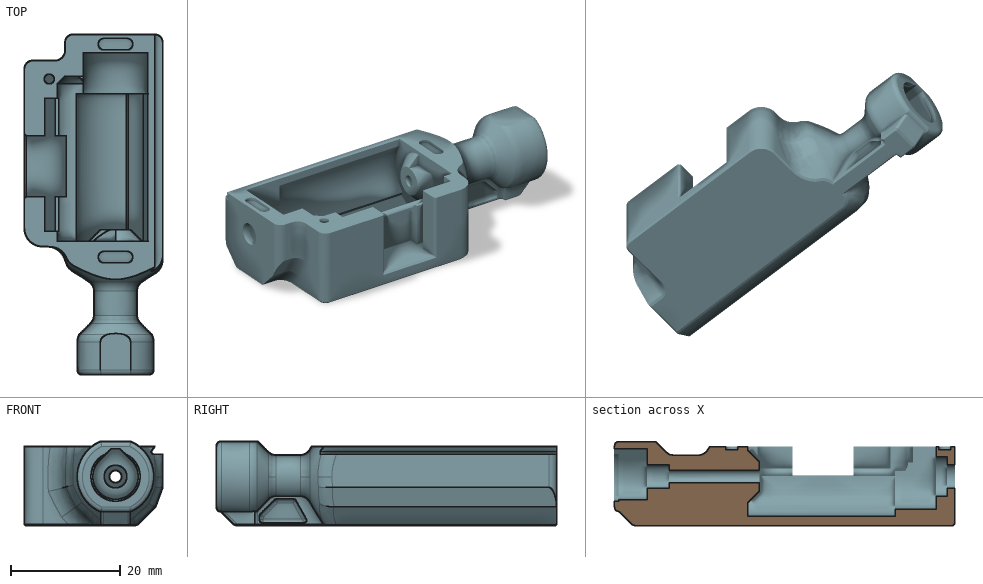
import cadquery as cq
import math


part_length = 62.2
top_z = 5.5
bottom_z = -9.0
bottom_chamfer = 0.3
edge_margin = 0.01

barrel_right_x = 8.64
barrel_left_x = -9.24
upper_facet_z = -1.97
lower_facet_z = -5.5
lower_facet_x = 7.35
bottom_half_width = lower_facet_x - (lower_facet_z - bottom_z)
back_corner_radius = 1.5
shoulder_slope = 0.63
shoulder_round = 3.0

rail_top_z = 4.1
rail_foot_x = 6.8
rail_groove_x = 6.5
rail_groove_z = 4.55
rail_edge_x = 7.2

block_left_x = -16.68
block_front_y = 23.4
block_back_y = 57.43
block_front_radius = 3.4
block_back_radius = 1.6
front_blend_radius = 3.3
back_blend_radius = 1.8

neck_radius = 3.95
knob_radius = 7.0
knob_flat_z = 6.44
knob_edge_radius = 0.9
knob_shoulder_y = 6.0
knob_cone_start_y = 7.4
knob_cone_start_radius = 6.6
knob_shoulder_mid_y = 6.75
knob_shoulder_mid_radius = 6.9
neck_start_y = 10.05
neck_end_y = 16.45
neck_fillet = 2.0
neck_root_radius = 5.4

web_half_width = 1.65
toe_half_width = 2.7
toe_end_y = 7.0
toe_edge_radius = 0.5
toe_top_z = -6.1
foot_front_y = 3.4
foot_back_y = 20.5
foot_pocket_outline = [(16.8, -8.4), (14.4, -4.1), (10.8, -4.1), (7.9, -7.0), (7.9, -8.4)]
foot_pocket_depth = 0.8
foot_pocket_corner_radius = 0.4
foot_pocket_floor_radius = 0.7

socket_radius = 4.15
socket_roof_z = 5.05
socket_depth = 6.0
mouth_radius = 4.5
mouth_depth = 0.8
axis_bore_depth = 4.0
axis_bore_diameter = 4.15
wire_hole_diameter = 2.2
back_recess_radius = 3.6
back_recess_depth = 2.0

cavity_front_y = 24.4
cavity_step_y = 51.3
cavity_back_y = 58.8
narrow_radius = 5.93
wide_radius = 7.2
boss_base_radius = 4.85
boss_height = 2.1
relief_angle = 60
relief_floor = 7.8
relief_half_width = 1.78

trough_radius = 2.6
trough_x = -8.0
trough_taper_y = 53.16
trough_back_y = 54.53

slot_front_y = 26.2
slot_back_y = 50.5
slot_left_x = -12.9
slot_right_x = -11.0
rib_top_z = 1.45
slot_floor_z = -6.5
window_front_y = 32.55
window_back_y = 43.7
window_right_x = -9.04
window_chamfer = 0.35

pad_length = 6.3
pad_width = 2.1
pad_depth = 0.6
pad_ys = (21.5, 60.4)
pin_diameter = 1.8
pin_depth = 5.0
pin_x = -12.1
pin_y = 54.03


def box(x0, x1, y0, y1, z0, z1):
    return cq.Workplane("XY").box(x1 - x0, y1 - y0, z1 - z0, centered=False).translate((x0, y0, z0))


def along_y(outline, y0, y1):
    """Extrude a closed list of (x, z) points from y0 to y1."""
    return cq.Workplane("XZ", origin=(0, y0, 0)).polyline(outline).close().extrude(y0 - y1)


def cylinder_y(radius, y0, y1, x=0, z=0):
    return cq.Workplane("XZ", origin=(0, y0, 0)).center(x, z).circle(radius).extrude(y0 - y1)


def cone_y(radius0, radius1, y0, y1, x=0, z=0):
    return (
        cq.Workplane("XY", origin=(x, 0, z))
        .moveTo(0, y0)
        .lineTo(radius0, y0)
        .lineTo(radius1, y1)
        .lineTo(0, y1)
        .close()
        .revolve(360, (0, 0, 0), (0, 1, 0))
    )


def shoulder_y(radius):
    """Where the conical front of the barrel reaches a given radius."""
    return neck_end_y + shoulder_slope * (radius - neck_radius)


def make_body():
    outline = [
        (bottom_half_width, bottom_z),
        (lower_facet_x, lower_facet_z),
        (barrel_right_x, upper_facet_z),
        (barrel_right_x, top_z),
        (barrel_left_x, top_z),
        (barrel_left_x, upper_facet_z),
        (-lower_facet_x, lower_facet_z),
        (-bottom_half_width, bottom_z),
    ]
    barrel = along_y(outline, neck_end_y, part_length)
    reach = 2 * knob_radius
    front_cone = (
        cq.Workplane("XY")
        .moveTo(0, shoulder_y(0))
        .lineTo(reach, shoulder_y(reach))
        .lineTo(reach, part_length)
        .lineTo(0, part_length)
        .close()
        .revolve(360, (0, 0, 0), (0, 1, 0))
    )
    barrel = barrel.intersect(front_cone)
    shoulder_box = cq.selectors.BoxSelector(
        (barrel_left_x - edge_margin, shoulder_y(neck_radius), bottom_z + edge_margin),
        (barrel_right_x + edge_margin, block_front_y, top_z - edge_margin),
    )
    barrel = barrel.edges(shoulder_box).edges("not %LINE").fillet(shoulder_round)
    barrel = barrel.edges("|Z and >Y").fillet(back_corner_radius)
    block = box(block_left_x, 0, block_front_y, block_back_y, bottom_z, top_z)
    block = block.edges("|Z and <X and <Y").fillet(block_front_radius)
    block = block.edges("|Z and <X and >Y").fillet(block_back_radius)
    body = barrel.union(block)
    body = blend_corner(body, block_front_y, front_blend_radius)
    body = blend_corner(body, block_back_y, back_blend_radius)
    return body.faces("<Z").edges().chamfer(bottom_chamfer)


def blend_corner(body, y, radius):
    """Fillet the inner corner where an end face of the block meets the barrel facets."""
    corner_box = cq.selectors.BoxSelector(
        (barrel_left_x - edge_margin, y - edge_margin, bottom_z + edge_margin),
        (0, y + edge_margin, top_z - edge_margin),
    )
    return body.edges(corner_box).fillet(radius)


def make_rail_cut():
    outline = [
        (2 * barrel_right_x, rail_top_z),
        (rail_foot_x, rail_top_z),
        (rail_groove_x, rail_groove_z),
        (rail_edge_x, top_z),
        (2 * barrel_right_x, top_z),
    ]
    return along_y(outline, 0, part_length)


def make_neck_and_knob():
    """Turned neck and knob; the knob has a flat on top and below and a rounded front edge."""
    root_y = shoulder_y(neck_root_radius)
    turning = (
        cq.Workplane("XY")
        .lineTo(knob_radius, 0)
        .lineTo(knob_radius, knob_shoulder_y)
        .threePointArc(
            (knob_shoulder_mid_radius, knob_shoulder_mid_y),
            (knob_cone_start_radius, knob_cone_start_y),
        )
        .lineTo(neck_radius, neck_start_y)
        .lineTo(neck_radius, neck_end_y)
        .lineTo(neck_root_radius, root_y)
        .lineTo(0, root_y)
        .close()
        .revolve(360, (0, 0, 0), (0, 1, 0))
    )
    waist_box = cq.selectors.BoxSelector(
        (-neck_root_radius, neck_start_y - edge_margin, -neck_root_radius),
        (neck_root_radius, neck_end_y + edge_margin, neck_root_radius),
    )
    turning = turning.edges(waist_box).edges("%CIRCLE").fillet(neck_fillet)
    flats = box(-knob_radius, knob_radius, 0, root_y, -knob_flat_z, knob_flat_z)
    return turning.intersect(flats).faces("<Y").edges().fillet(knob_edge_radius)


def make_foot():
    """Narrow web below the neck, ending in a wider toe with a 45-degree front under the knob."""
    web = box(-web_half_width, web_half_width, toe_end_y, foot_back_y, bottom_z, 0)
    toe = (
        cq.Workplane("YZ", origin=(-toe_half_width, 0, 0))
        .moveTo(foot_front_y, bottom_z)
        .lineTo(foot_front_y + bottom_z - toe_top_z, toe_top_z)
        .lineTo(toe_end_y, toe_top_z)
        .lineTo(toe_end_y, bottom_z)
        .close()
        .extrude(2 * toe_half_width)
    )
    foot = web.union(toe)
    inner_corners = cq.selectors.BoxSelector(
        (-toe_half_width + edge_margin, toe_end_y - edge_margin, bottom_z),
        (toe_half_width - edge_margin, toe_end_y + edge_margin, toe_top_z + edge_margin),
    )
    foot = foot.edges("|Z").edges(inner_corners).fillet(toe_edge_radius)
    foot = foot.faces("<Y").edges("not |X").fillet(toe_edge_radius)
    return foot.faces("<Z").edges("not >Y").chamfer(bottom_chamfer)


def make_foot_pockets():
    """Pockets with rounded corners and rounded floor edges in the two sides of the web."""
    pocket = (
        cq.Workplane("YZ", origin=(-web_half_width, 0, 0))
        .polyline(foot_pocket_outline)
        .close()
        .extrude(foot_pocket_depth)
    )
    pocket = pocket.edges("|X").fillet(foot_pocket_corner_radius)
    pocket = pocket.faces(">X").edges().fillet(foot_pocket_floor_radius)
    return pocket.union(pocket.mirror("YZ"))


def make_socket():
    """Socket in the knob with 45-degree roof sides and a flat roof, then the bores behind it."""
    tangent = socket_radius / math.sqrt(2)
    roof_half_width = socket_radius * math.sqrt(2) - socket_roof_z
    socket = (
        cq.Workplane("XZ")
        .moveTo(tangent, tangent)
        .lineTo(roof_half_width, socket_roof_z)
        .lineTo(-roof_half_width, socket_roof_z)
        .lineTo(-tangent, tangent)
        .threePointArc((0, -socket_radius), (tangent, tangent))
        .close()
        .extrude(-socket_depth)
    )
    bore_end_y = socket_depth + axis_bore_depth
    mouth = cylinder_y(mouth_radius, 0, mouth_depth)
    bore = cylinder_y(axis_bore_diameter / 2, socket_depth, bore_end_y)
    wire_hole = cylinder_y(wire_hole_diameter / 2, bore_end_y, cavity_front_y + boss_height)
    return socket.union(mouth).union(bore).union(wire_hole)


def make_back_opening():
    recess_end_y = cavity_back_y + back_recess_depth
    recess = cylinder_y(back_recess_radius, cavity_back_y, recess_end_y)
    return recess.union(cylinder_y(axis_bore_diameter / 2, recess_end_y, part_length))


def make_barrel_cavity():
    narrow = cylinder_y(narrow_radius, cavity_front_y, cavity_back_y)
    wide = cylinder_y(wide_radius, cavity_front_y, cavity_step_y)
    opening = box(-narrow_radius, narrow_radius, cavity_front_y, cavity_back_y, 0, top_z)
    relief = box(
        0, relief_floor, cavity_front_y, cavity_step_y, -relief_half_width, relief_half_width
    ).rotate((0, 0, 0), (0, 1, 0), relief_angle)
    boss = cone_y(
        boss_base_radius, boss_base_radius - boss_height, cavity_front_y, cavity_front_y + boss_height
    )
    return narrow.union(wide).union(opening).union(relief).cut(boss)


def make_trough():
    """Round-bottomed trough, open upward, whose back end narrows at 45 degrees."""
    taper = trough_back_y - trough_taper_y
    end_radius = trough_radius - taper
    round_floor = cylinder_y(trough_radius, cavity_front_y, trough_taper_y, trough_x, trough_radius)
    end_cone = cone_y(
        trough_radius, end_radius, trough_taper_y, trough_back_y, trough_x, trough_radius
    )
    opening = (
        cq.Workplane("XY", origin=(0, 0, trough_radius))
        .moveTo(trough_x - trough_radius, cavity_front_y)
        .lineTo(trough_x - trough_radius, trough_taper_y)
        .lineTo(trough_x - end_radius, trough_back_y)
        .lineTo(0, trough_back_y)
        .lineTo(0, cavity_front_y)
        .close()
        .extrude(top_z - trough_radius)
    )
    return round_floor.union(end_cone).union(opening)


def make_block_slot():
    narrow = box(slot_left_x, slot_right_x, slot_front_y, slot_back_y, slot_floor_z, top_z)
    over_rib = box(slot_left_x, trough_x, slot_front_y, slot_back_y, rib_top_z, top_z)
    return narrow.union(over_rib)


def make_side_window():
    """Window from the left face to the trough, open at the top, with chamfered outer edges."""
    window = box(block_left_x, window_right_x, window_front_y, window_back_y, slot_floor_z, top_z)
    chamfer = (
        cq.Workplane("YZ", origin=(block_left_x, 0, 0))
        .moveTo(window_front_y - window_chamfer, top_z + window_chamfer)
        .lineTo(window_front_y - window_chamfer, slot_floor_z - window_chamfer)
        .lineTo(window_back_y + window_chamfer, slot_floor_z - window_chamfer)
        .lineTo(window_back_y + window_chamfer, top_z + window_chamfer)
        .close()
        .extrude(window_chamfer, taper=45)
    )
    return window.union(chamfer)


def make_top_marks():
    """Two shallow rounded pads on the barrel line and a pin hole in the block."""
    pads = (
        cq.Workplane("XY", origin=(0, 0, top_z))
        .pushPoints([(0, y) for y in pad_ys])
        .slot2D(pad_length, pad_width)
        .extrude(-pad_depth)
    )
    pin = (
        cq.Workplane("XY", origin=(pin_x, pin_y, top_z)).circle(pin_diameter / 2).extrude(-pin_depth)
    )
    return pads.union(pin)


additions = (make_foot, make_neck_and_knob)
cuts = (
    make_foot_pockets,
    make_rail_cut,
    make_barrel_cavity,
    make_trough,
    make_block_slot,
    make_side_window,
    make_back_opening,
    make_top_marks,
    make_socket,
)

result = make_body()
for make_addition in additions:
    result = result.union(make_addition())
for make_cut in cuts:
    result = result.cut(make_cut())